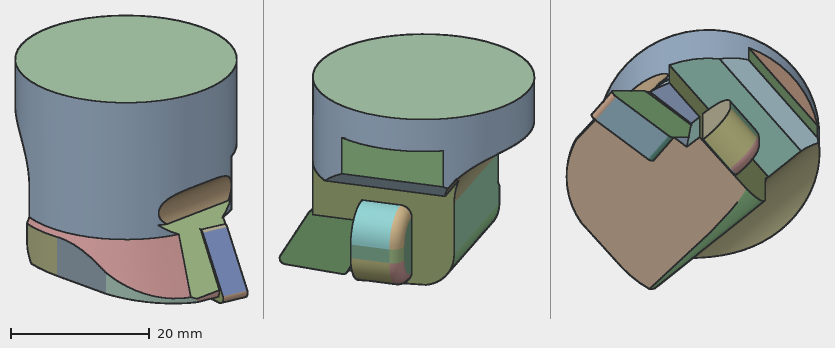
import cadquery as cq
import math

shank_radius = 15.995
overall_depth = 32.52
head_top_z = -21.45
head_front_y = shank_radius - overall_depth
stock_bottom_z = -34.07
cut_size = 113.58

wall_x = -6.45
gullet_radius = 10.0
gullet_end_z = -16.8
back_flat_y = 14.0
back_flat_top_z = -5.0
back_chamfer = 2.57
relief_y = 5.3
relief_top_z = -13.2

groove_radius = 3.6
groove_z = -17.65
groove_x = 18.02
side_angle = 8.6

flare_slope = 0.67
flank_slope = 0.62
flank_top_x = 15.55
front_end_x = 8.9
nose_mid = (15.22, -13.97)
nose_end = (19.35, -8.6)
head_corner_radius = 5.45
head_corner_z = -24.85
bottom_z = -29.85
bottom_slope_x = -0.06
bottom_slope_y = -0.088

insert_edge = 11.6
insert_thickness = 4.77
insert_angle = 55.0
insert_nose_radius = 0.8
insert_tip = (22.53, 0.0, -32.05)
insert_edge_tilt = 2.7
rake_normal = cq.Vector(0.19, 0.98, -0.09)
chip_space_x = 8.33
chip_space_depth = 22.7

boss_x = 0.0
boss_length = 7.57
boss_top_z = -18.17
boss_bottom_z = -30.15
boss_end_y = 10.45
boss_corner_radius = 4.92
boss_edge_radius = 1.7


def box_between(low, high):
    """Axis-aligned box from its low corner to its high corner."""
    size = [b - a for a, b in zip(low, high)]
    return cq.Workplane("XY").box(*size, centered=False).translate(low)


def make_shank():
    shank = cq.Workplane("XY").circle(shank_radius).extrude(stock_bottom_z)
    back_edge = (
        cq.Workplane("YZ", origin=(-cut_size / 2, 0, 0))
        .moveTo(back_flat_y, back_flat_top_z)
        .lineTo(back_flat_y, relief_top_z + back_chamfer)
        .lineTo(back_flat_y - back_chamfer, relief_top_z)
        .lineTo(cut_size, relief_top_z)
        .lineTo(cut_size, back_flat_top_z)
        .close()
        .extrude(cut_size)
    )
    return shank.cut(back_edge)


def make_flare():
    """Cone that widens downward from the shank."""
    depth = head_top_z - stock_bottom_z
    return (
        cq.Workplane("XZ")
        .moveTo(0, head_top_z)
        .lineTo(shank_radius, head_top_z)
        .lineTo(shank_radius + flare_slope * depth, stock_bottom_z)
        .lineTo(0, stock_bottom_z)
        .close()
        .revolve(360, (0, 0, 0), (0, 1, 0))
    )


def make_head():
    """Flared head: an arc about the shank axis, a flat front, a round nose and a straight flank."""
    side_run = math.tan(math.radians(side_angle))
    back_x = nose_end[0] + (relief_y - nose_end[1]) * side_run
    head_radius = -head_front_y
    mid_x = wall_x / 2
    left_arc_mid = (mid_x, -math.sqrt(head_radius**2 - mid_x**2))
    left_y = -math.sqrt(head_radius**2 - wall_x**2)
    outline = (
        cq.Workplane("XY", origin=(0, 0, stock_bottom_z))
        .moveTo(wall_x, left_y)
        .threePointArc(left_arc_mid, (0, head_front_y))
        .lineTo(front_end_x, head_front_y)
        .threePointArc(nose_mid, nose_end)
        .lineTo(back_x, relief_y)
        .lineTo(wall_x, relief_y)
        .close()
        .extrude(head_top_z - stock_bottom_z)
    )
    return outline.intersect(make_flare())


def flank_cut():
    """Material outside the sloping right flank, from its tangent line on the groove down."""
    top_z = groove_z - groove_radius * math.sin(math.atan(flank_slope))
    top_x = flank_top_x - flank_slope * (top_z - head_top_z)
    depth = head_top_z - stock_bottom_z
    side_run = math.tan(math.radians(side_angle))
    section = [
        (top_x, top_z),
        (flank_top_x + flank_slope * depth, stock_bottom_z),
        (cut_size, stock_bottom_z),
        (cut_size, top_z),
    ]
    half = cut_size / 2
    ends = []
    for y in (-half, half):
        points = [cq.Vector(x + y * side_run, y, z) for x, z in section]
        ends.append(cq.Wire.makePolygon(points, close=True))
    return cq.Workplane(obj=cq.Solid.makeLoft(ends, True))


def left_cut():
    """Large round gullet, flat wall and rounded lower corner on the left."""
    corner_x = wall_x + head_corner_radius
    corner_bottom = head_corner_z - head_corner_radius
    mid = math.sqrt(0.5)
    gullet_x = wall_x - gullet_radius
    return (
        cq.Workplane("XZ", origin=(0, cut_size / 2, 0))
        .moveTo(gullet_x, gullet_end_z + gullet_radius)
        .threePointArc(
            (gullet_x + gullet_radius * mid, gullet_end_z + gullet_radius * mid),
            (wall_x, gullet_end_z),
        )
        .lineTo(wall_x, head_corner_z)
        .threePointArc(
            (corner_x - head_corner_radius * mid, head_corner_z - head_corner_radius * mid),
            (corner_x, corner_bottom),
        )
        .lineTo(corner_x, -cut_size)
        .lineTo(-cut_size, -cut_size)
        .lineTo(-cut_size, gullet_end_z + gullet_radius)
        .close()
        .extrude(cut_size)
    )


def bottom_cut():
    """Everything below the plane that slopes in both X and Y."""
    plane = cq.Plane((0, 0, bottom_z), normal=(-bottom_slope_x, -bottom_slope_y, 1))
    return cq.Workplane(plane).rect(cut_size, cut_size).extrude(-cut_size)


def groove_cut():
    angle = math.radians(side_angle)
    direction = cq.Vector(math.sin(angle), math.cos(angle), 0)
    start = cq.Vector(groove_x, 0, groove_z) - direction * (cut_size / 2)
    return cq.Workplane(obj=cq.Solid.makeCylinder(groove_radius, cut_size, start, direction))


def rake_plane():
    """Plane on the rake face; local X follows the lower edge toward the left."""
    tilt = math.radians(insert_edge_tilt)
    x_part = -math.cos(tilt)
    z_part = math.sin(tilt)
    y_part = -(rake_normal.x * x_part + rake_normal.z * z_part) / rake_normal.y
    edge = cq.Vector(x_part, y_part, z_part)
    return cq.Plane(origin=insert_tip, xDir=edge, normal=rake_normal)


def make_insert():
    angle = math.radians(insert_angle)
    run = insert_edge * math.cos(angle)
    rise = insert_edge * math.sin(angle)
    points = [(0, 0), (insert_edge, 0), (insert_edge + run, rise), (run, rise)]
    return (
        cq.Workplane(rake_plane())
        .polyline(points)
        .close()
        .extrude(-insert_thickness)
        .edges(cq.selectors.ParallelDirSelector(rake_normal))
        .fillet(insert_nose_radius)
    )


def chip_space_cut():
    """Open space in front of the rake face, beside the boss."""
    space = cq.Workplane(rake_plane()).rect(cut_size, cut_size).extrude(chip_space_depth)
    keep = box_between((chip_space_x, -cut_size, stock_bottom_z), (cut_size, cut_size, head_top_z))
    return space.intersect(keep)


def make_boss():
    root_y = relief_y - boss_corner_radius
    boss = box_between((boss_x, root_y, boss_bottom_z), (boss_x + boss_length, boss_end_y, boss_top_z))
    boss = boss.edges("|X and >Y").fillet(boss_corner_radius)
    return boss.faces(">Y").edges("<X").fillet(boss_edge_radius)


def make_holder(insert):
    holder = make_shank().union(make_head())
    relief = box_between((-cut_size, relief_y, -cut_size), (cut_size, cut_size, relief_top_z))
    holder = holder.cut(relief).union(make_boss())
    for cutter in (flank_cut(), left_cut(), bottom_cut(), groove_cut(), chip_space_cut(), insert):
        holder = holder.cut(cutter)
    return holder


insert = make_insert()
holder = make_holder(insert)
result = cq.Compound.makeCompound([holder.val(), insert.val()])